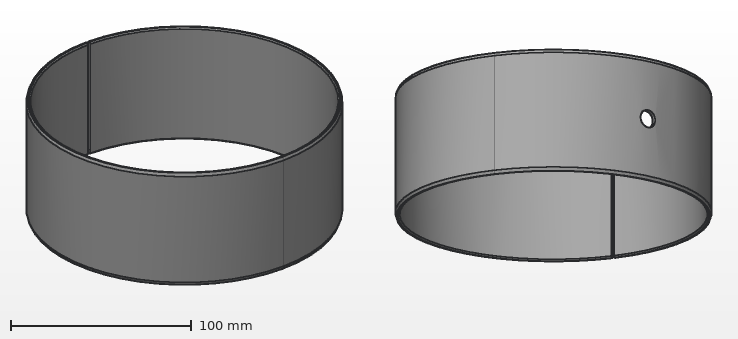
import cadquery as cq

outer_radius = 87.5
wall = 2.5
inner_radius = outer_radius - wall
height = 70.0

outer_bevel_width = 0.7
outer_bevel_height = 2.0
inner_bevel = 0.9

split_width = 1.5

hole_diameter = 10.0
hole_azimuth = 58.7
hole_height = height / 2


def make_ring():
    """Revolve the wall section, bevelled at all four corners, about Z."""
    section = [
        (inner_radius, inner_bevel),
        (inner_radius + inner_bevel, 0),
        (outer_radius - outer_bevel_width, 0),
        (outer_radius, outer_bevel_height),
        (outer_radius, height - outer_bevel_height),
        (outer_radius - outer_bevel_width, height),
        (inner_radius + inner_bevel, height),
        (inner_radius, height - inner_bevel),
    ]
    return cq.Workplane("XZ").polyline(section).close().revolve(360, (0, 0), (0, 1))


def make_split_cutter():
    """Slab from the axis out past the -X side of the wall."""
    return cq.Workplane("XY").box(
        2 * outer_radius, split_width, height, centered=(True, False, False)
    ).translate((-outer_radius, 0, 0))


def make_hole_cutter():
    """Cylinder running outward from the axis through one side of the wall."""
    return (
        cq.Workplane("YZ")
        .center(0, hole_height)
        .circle(hole_diameter / 2)
        .extrude(2 * outer_radius)
        .rotate((0, 0, 0), (0, 0, 1), hole_azimuth)
    )


result = make_ring().cut(make_split_cutter()).cut(make_hole_cutter())